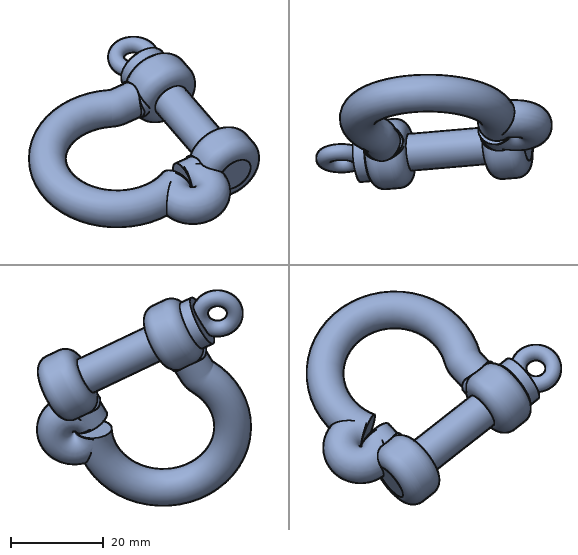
import cadquery as cq
import math

bar_radius = 4.0
pin_radius = bar_radius
leg_offset = 13.0
bow_radius = 15.0
bow_center_y = -19.0
bend_radius = 4.1
loop_end_setback = 5

eye_diameter = 15.0
eye_width = 9.0
eye_round = 3.0
neck_round = 1.35
neck_half_width = 4.4
neck_half_height = 4.0

collar_diameter = 11.0
collar_thickness = 2.5
ring_outer_radius = 5.5
ring_wire_radius = 1.75
overall_length = 54.45

bend_center_x = leg_offset + bend_radius
center_distance = bow_radius + bend_radius
bend_angle = math.acos(bend_center_x / center_distance)
bend_y = bow_center_y + math.sqrt(center_distance**2 - bend_center_x**2)

eye_outer_x = leg_offset + eye_width / 2
collar_face_x = -eye_outer_x - collar_thickness
loop_end_x = bend_center_x + bend_radius + bar_radius
ring_center_x = loop_end_x - overall_length + ring_outer_radius


def make_rounded_disc(x, rounding):
    """Disc around the pin axis with both rims rounded."""
    return (
        cq.Workplane("YZ", origin=(x - eye_width / 2, 0, 0))
        .circle(eye_diameter / 2)
        .extrude(eye_width)
        .edges()
        .fillet(rounding)
    )


def make_neck(x):
    """Oval shoulder nearly as wide as the eye, blending the leg into the eye."""
    oval = (
        cq.Workplane("XZ", origin=(x, 0, 0))
        .ellipse(neck_half_width, neck_half_height)
        .extrude(eye_diameter / 2)
    )
    return oval.intersect(make_rounded_disc(x, neck_round))


def make_leg(x):
    """Straight bar from the eye centre down to the bend."""
    return cq.Workplane("XZ", origin=(x, 0, 0)).circle(bar_radius).extrude(-bend_y)


def make_bow():
    """-X leg, its bend and the bow arc as one bar, ending in the cut face below the +X leg."""
    joint_x = bow_radius * math.cos(bend_angle)
    joint_y = bow_center_y + bow_radius * math.sin(bend_angle)
    bend_middle_x = -bend_center_x + bend_radius * math.cos(bend_angle / 2)
    bend_middle_y = bend_y - bend_radius * math.sin(bend_angle / 2)
    centerline = (
        cq.Workplane("XY")
        .moveTo(-leg_offset, 0)
        .lineTo(-leg_offset, bend_y)
        .threePointArc((bend_middle_x, bend_middle_y), (-joint_x, joint_y))
        .threePointArc((0, bow_center_y - bow_radius), (joint_x, joint_y))
    )
    return cq.Workplane("XZ", origin=(-leg_offset, 0, 0)).circle(bar_radius).sweep(centerline)


def make_loop():
    """+X bend, turned the long way round from the leg to the bow so that a wedge gap stays open.

    Both of its ends stop short of the wedge faces, buried in the leg and in the bow.
    """
    turn = 360 - math.degrees(bend_angle) - 2 * loop_end_setback
    loop = (
        cq.Workplane("XZ", origin=(leg_offset, bend_y, 0))
        .circle(bar_radius)
        .revolve(turn, (bend_radius, 0, 0), (bend_radius, -1, 0))
    )
    axis_start = (bend_center_x, bend_y, 0)
    axis_end = (bend_center_x, bend_y, 1)
    return loop.rotate(axis_start, axis_end, -loop_end_setback)


def make_pin_hole(x):
    return cq.Workplane("YZ", origin=(x - eye_width / 2, 0, 0)).circle(pin_radius).extrude(eye_width)


def make_shackle():
    """Bow and loop with an eye at the top of each leg."""
    shackle = make_bow().union(make_leg(leg_offset)).union(make_loop())
    for x in (-leg_offset, leg_offset):
        eye = make_rounded_disc(x, eye_round).union(make_neck(x))
        shackle = shackle.union(eye).cut(make_pin_hole(x))
    return shackle


def make_pin():
    """Shank with a collar against the -X eye and a flat ring for turning it."""
    shank = cq.Workplane("YZ", origin=(-eye_outer_x, 0, 0)).circle(pin_radius).extrude(2 * eye_outer_x)
    collar = (
        cq.Workplane("YZ", origin=(collar_face_x, 0, 0))
        .circle(collar_diameter / 2)
        .extrude(collar_thickness)
    )
    ring = cq.Workplane(
        cq.Solid.makeTorus(ring_outer_radius - ring_wire_radius, ring_wire_radius)
    ).translate((ring_center_x, 0, 0))
    return shank.union(collar).union(ring)


shackle = make_shackle()
pin = make_pin()

result = cq.Compound.makeCompound([shackle.val(), pin.val()])